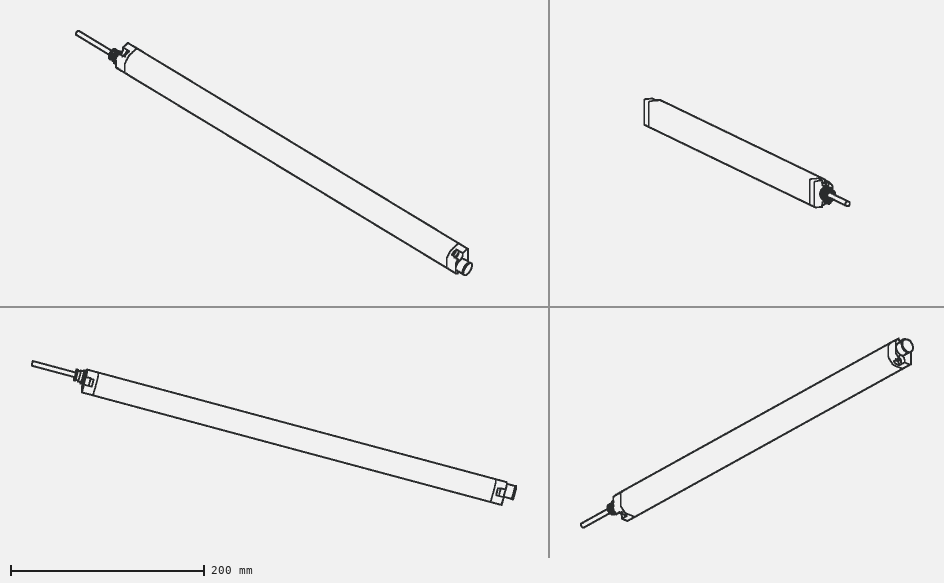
import cadquery as cq

total_length = 518.5
cable_reach = 57.0
plug_length = 10.5
cap_length = 12.0
height = 28.0
back_y = 13.5
front_y = -7.5

slant = 6.0
top_blend = 3.5
front_blend = 2.5
back_rounding = 2.0

slot_length = 8.5
slot_width = 8.0
slot_y = 0.5
slot_floor_z = 7.5
ledge_length = 3.0
ledge_floor_z = 10.0

cable_diameter = 5.0
gland_diameter = 12.0
gland_rim_length = 1.5
gland_mouth_diameter = 8.5
gland_groove_diameter = 10.0
gland_groove_length = 3.0
gland_body_length = 3.0
flange_diameter = 14.5
flange_length = 1.5
flange_seat_diameter = 14.0
flange_seat_length = 1.5

plug_diameter = 14.5
plug_rim_length = 1.5
plug_shaft_diameter = 14.0

cable_tip = -total_length / 2
plug_tip = total_length / 2
left_end = cable_tip + cable_reach
right_end = plug_tip - plug_length
profile_left = left_end + cap_length
profile_right = right_end - cap_length


def section_bar(x_start, length):
    """Bar with slanted, blended front corners and small back roundings."""
    top = height / 2
    outline = [
        (back_y, -top),
        (back_y, top),
        (front_y + slant, top),
        (front_y, top - slant),
        (front_y, slant - top),
        (front_y + slant, -top),
    ]
    bar = cq.Workplane("YZ", origin=(x_start, 0, 0)).polyline(outline).close().extrude(length)
    bar = bar.edges("|X and (>Z or <Z) and (not >Y)").fillet(top_blend)
    bar = bar.edges("|X and <Y").fillet(front_blend)
    return bar.edges("|X and >Y").fillet(back_rounding)


def round_bar(x_start, length, diameter):
    """Cylinder on the common axis."""
    return cq.Workplane("YZ", origin=(x_start, 0, 0)).circle(diameter / 2).extrude(length)


def slot_cutter(x_start, length, floor_z):
    """Cutter for an upper slot: upright side walls over a round floor."""
    radius = slot_width / 2
    floor_center_z = floor_z + radius
    return (
        cq.Workplane("YZ", origin=(x_start, 0, 0))
        .moveTo(slot_y + radius, height)
        .lineTo(slot_y + radius, floor_center_z)
        .threePointArc((slot_y, floor_z), (slot_y - radius, floor_center_z))
        .lineTo(slot_y - radius, height)
        .close()
        .extrude(length)
    )


def slotted_cap(x_start, slot_start, deep_start):
    """End cap with a stepped slot in its top and a matching one in its bottom."""
    shallow = slot_cutter(slot_start, slot_length, ledge_floor_z)
    deep = slot_cutter(deep_start, slot_length - ledge_length, slot_floor_z)
    slot = shallow.union(deep)
    return section_bar(x_start, cap_length).cut(slot).cut(slot.mirror("XY"))


def make_cable_cap():
    """Left cap with its stepped gland and the cable."""
    gland_steps = [
        (flange_seat_length, flange_seat_diameter),
        (flange_length, flange_diameter),
        (gland_body_length, gland_diameter),
        (gland_groove_length, gland_groove_diameter),
        (gland_rim_length, gland_diameter),
    ]
    body = slotted_cap(left_end, left_end, left_end)
    x = left_end
    for length, diameter in gland_steps:
        x -= length
        body = body.union(round_bar(x, length, diameter))
    body = body.cut(round_bar(x, gland_rim_length, gland_mouth_diameter))
    x += gland_rim_length
    return body.union(round_bar(cable_tip, x - cable_tip, cable_diameter))


def make_plug_cap():
    """Right cap with its round plug, which ends in a slightly wider rim."""
    shaft_length = plug_length - plug_rim_length
    shaft = round_bar(right_end, shaft_length, plug_shaft_diameter)
    rim = round_bar(right_end + shaft_length, plug_rim_length, plug_diameter)
    slot_start = right_end - slot_length
    body = slotted_cap(profile_right, slot_start, slot_start + ledge_length)
    return body.union(shaft).union(rim)


profile = section_bar(profile_left, profile_right - profile_left)
cable_cap = make_cable_cap()
plug_cap = make_plug_cap()

result = cq.Compound.makeCompound([profile.val(), cable_cap.val(), plug_cap.val()])